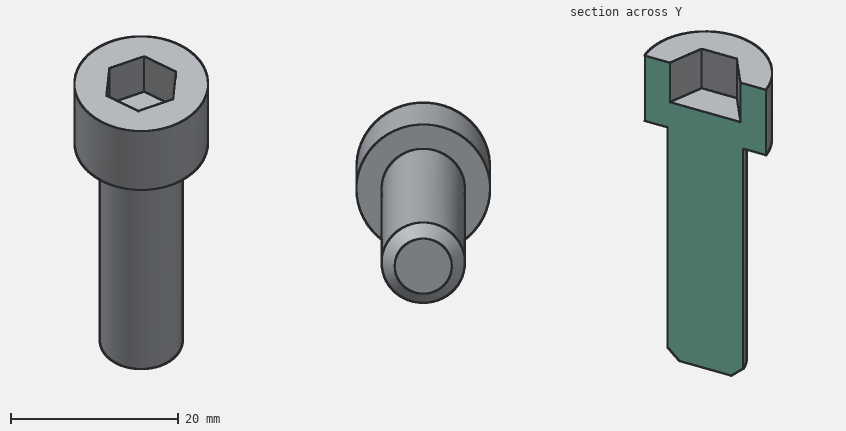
import cadquery as cq
import math

total_length = 45.0
head_diameter = 16.0
head_height = 10.0
shank_diameter = 10.0
tip_chamfer = 1.58
socket_across_flats = 8.0
socket_depth = 6.0

hexagon_sides = 6
socket_across_corners = socket_across_flats / math.cos(math.pi / hexagon_sides)
shank_length = total_length - head_height


def make_shank():
    shank = cq.Workplane("XY").circle(shank_diameter / 2).extrude(shank_length)
    return shank.faces("<Z").chamfer(tip_chamfer)


def make_head():
    return (
        cq.Workplane("XY")
        .workplane(offset=shank_length)
        .circle(head_diameter / 2)
        .extrude(head_height)
    )


def make_hex_socket():
    return (
        cq.Workplane("XY")
        .workplane(offset=total_length)
        .polygon(hexagon_sides, socket_across_corners)
        .extrude(-socket_depth)
    )


result = make_shank().union(make_head()).cut(make_hex_socket())